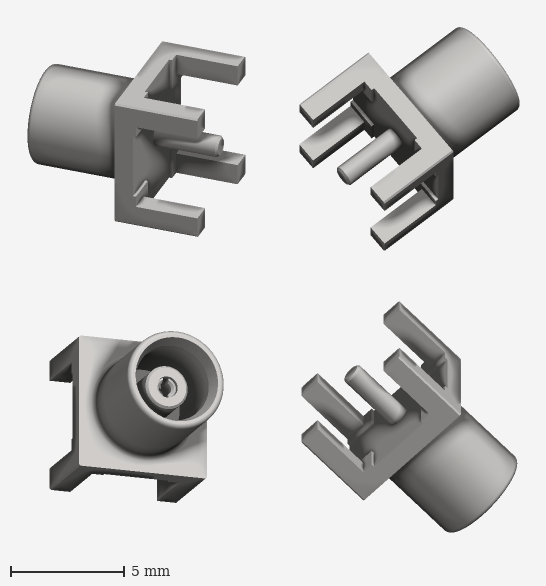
import cadquery as cq

total_length = 8.35
flange_front = 4.45
flange_back = 5.31
pad_height = 0.14

flange_side = 6.0
corner_chamfer = 0.075
leg_gap = 4.05
pad_gap = 3.02

barrel_radius = 2.255
barrel_round = 0.2
socket_radius = 1.71
socket_mouth_radius = 1.93
mouth_taper_depth = 0.62
socket_floor = flange_front

insulator_radius = 0.985
insulator_chamfer = 0.1
insulator_front = 1.25

contact_radius = 0.485
contact_recess = 0.2
contact_front = insulator_front + contact_recess
contact_bore_radius = 0.28
contact_mouth_radius = 0.39
contact_bore_depth = 1.17
contact_bore_tip = 0.17
contact_slot_width = 0.27
contact_slot_depth = 1.0
tail_radius = 0.485
tail_end = 8.325
tail_chamfer = 0.1


def rod(radius, start, end):
    """Cylinder on the X axis."""
    return cq.Workplane("YZ", origin=(start, 0, 0)).circle(radius).extrude(end - start)


def centred_bar(start, end, width, height):
    """Rectangular bar on the X axis."""
    return cq.Workplane("YZ", origin=(start, 0, 0)).rect(width, height).extrude(end - start)


def make_flange():
    """Square block cut by stepped cross channels, leaving four corner legs."""
    block = centred_bar(flange_front, total_length, flange_side, flange_side)
    block = block.edges("|X").chamfer(corner_chamfer)
    for gap, floor in ((leg_gap, flange_back + pad_height), (pad_gap, flange_back)):
        block = block.cut(centred_bar(floor, total_length, gap, flange_side))
        block = block.cut(centred_bar(floor, total_length, flange_side, gap))
    return block


def make_barrel():
    """Barrel with a rounded rim and a concave fillet where it meets the flange."""
    fillet_start = flange_front - barrel_round
    root_radius = barrel_radius + barrel_round
    profile = (
        cq.Workplane("XY")
        .lineTo(0, barrel_radius - barrel_round)
        .radiusArc((barrel_round, barrel_radius), barrel_round)
        .lineTo(fillet_start, barrel_radius)
        .radiusArc((flange_front, root_radius), -barrel_round)
        .lineTo(flange_front, 0)
        .close()
    )
    return profile.revolve(360, (0, 0, 0), (1, 0, 0))


def make_socket():
    """Cavity with a tapered mouth."""
    profile = cq.Workplane("XY").polyline([
        (0, 0),
        (0, socket_mouth_radius),
        (mouth_taper_depth, socket_radius),
        (socket_floor, socket_radius),
        (socket_floor, 0),
    ]).close()
    return profile.revolve(360, (0, 0, 0), (1, 0, 0))


def make_insulator():
    """Chamfered post, hollow down to the front of the contact."""
    post = rod(insulator_radius, insulator_front, socket_floor)
    post = post.faces("<X").chamfer(insulator_chamfer)
    return post.cut(rod(contact_radius, insulator_front, contact_front))


def make_contact_bore():
    """Countersunk bore with a conical bottom."""
    countersink_end = contact_front + contact_mouth_radius - contact_bore_radius
    bore_end = contact_front + contact_bore_depth
    profile = cq.Workplane("XY").polyline([
        (contact_front, 0),
        (contact_front, contact_mouth_radius),
        (countersink_end, contact_bore_radius),
        (bore_end, contact_bore_radius),
        (bore_end + contact_bore_tip, 0),
    ]).close()
    return profile.revolve(360, (0, 0, 0), (1, 0, 0))


def make_contact_slot():
    """Vertical slot across the full diameter of the contact."""
    slot_end = contact_front + contact_slot_depth
    slot = centred_bar(contact_front, slot_end, contact_slot_width, 2 * contact_radius)
    return slot.intersect(rod(contact_radius, contact_front, slot_end))


def make_tail():
    """Solder tail behind the flange."""
    return rod(tail_radius, flange_back, tail_end).faces(">X").chamfer(tail_chamfer)


body = make_flange().union(make_barrel()).cut(make_socket())
body = body.union(make_insulator()).union(make_tail())
result = body.cut(make_contact_bore()).cut(make_contact_slot())